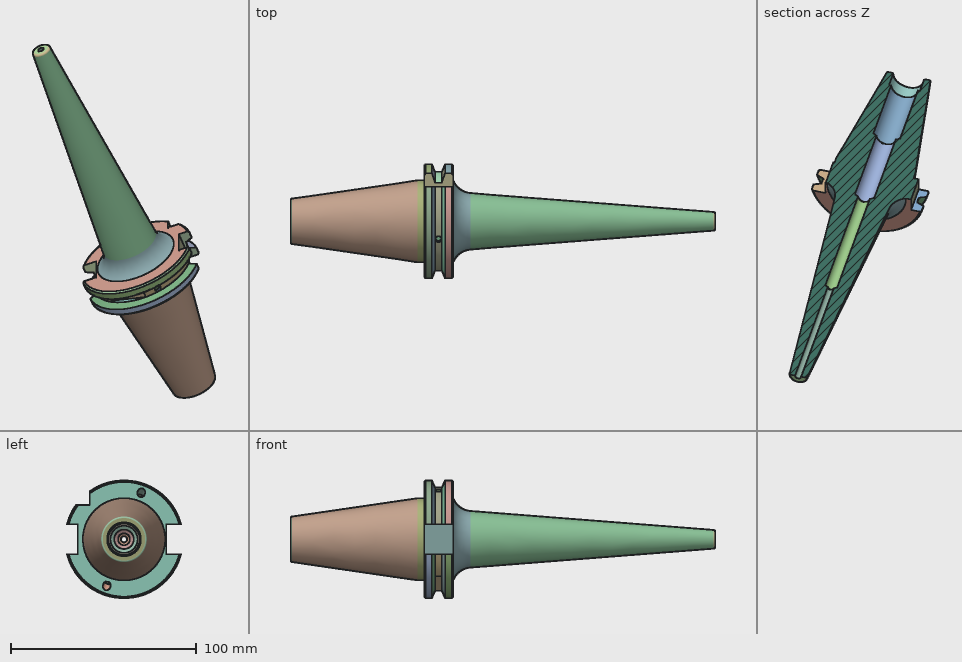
import cadquery as cq
import math

LENGTH = 228.5

TAPER_LENGTH = 68.3
TAPER_RADIUS = 22.2
TAPER_SLOPE = 7 / 48
TAPER_EDGE_RADIUS = 1.0

FLANGE_START = 71.7
FLANGE_END = 87.5
FLANGE_RADIUS = 31.7
FLANGE_CHAMFER = 1.0
GROOVE_CENTER = 79.5
GROOVE_FLOOR_RADIUS = 27.9
GROOVE_FLOOR_WIDTH = 3.7
GROOVE_MOUTH_WIDTH = 7.0

SLOT_WIDTH = 16.0
SLOT_FLOOR_PLUS_Y = 25.0
SLOT_FLOOR_MINUS_Y = 22.8
NOTCH_OFFSET = 18.5

NOSE_START = 96.5
NOSE_ROOT_RADIUS = 15.3
NOSE_TIP_RADIUS = 5.0
NOSE_EDGE_RADIUS = 1.1
BLEND_RADIUS = 10.7

PILOT_RADIUS = 8.5
PILOT_DEPTH = 9.1
DRILLED_STEPS = [(7.3, 45.7), (5.3, 91.4), (3.2, 159.9)]
TOOL_BORE_RADIUS = 1.5
PILOT_CHAMFER = 0.7
DRILL_POINT_ANGLE = 118.0

COOLANT_TURN = 20.3
COOLANT_ENTRY_RADIUS = 26.7
COOLANT_HOLE_RADIUS = 2.0
COOLANT_TILT = 30.0
PLUG_RADIUS = 1.71
PLUG_BOTTOM = 20.5
PLUG_TOP = 25.5
PLUG_TURNS = (COOLANT_TURN, COOLANT_TURN + 180)

FLAT_TURN = 180 - COOLANT_TURN
FLAT_DISTANCE = 25.4
FLAT_WIDTH = 3.5


def revolve_about_x(profile):
    return profile.close().revolve(360, (0, 0, 0), (1, 0, 0))


def turn_about_x(shape, angle):
    return shape.rotate((0, 0, 0), (1, 0, 0), angle)


def arc_point(center, radius, angle):
    return (center[0] + radius * math.cos(angle), center[1] + radius * math.sin(angle))


def turned_body():
    taper_end_radius = TAPER_RADIUS - TAPER_LENGTH * TAPER_SLOPE
    floor_half = GROOVE_FLOOR_WIDTH / 2
    mouth_half = GROOVE_MOUTH_WIDTH / 2

    nose_angle = math.atan2(NOSE_ROOT_RADIUS - NOSE_TIP_RADIUS, LENGTH - NOSE_START)
    blend_center = (
        NOSE_START + BLEND_RADIUS * math.sin(nose_angle),
        NOSE_ROOT_RADIUS + BLEND_RADIUS * math.cos(nose_angle),
    )
    blend_end_angle = -math.pi / 2 - nose_angle
    blend_start_angle = math.acos((blend_center[0] - FLANGE_END) / BLEND_RADIUS) - math.pi
    blend_start = arc_point(blend_center, BLEND_RADIUS, blend_start_angle)
    blend_middle = arc_point(blend_center, BLEND_RADIUS, (blend_start_angle + blend_end_angle) / 2)

    profile = (
        cq.Workplane("XZ")
        .lineTo(0, taper_end_radius)
        .lineTo(TAPER_LENGTH, TAPER_RADIUS)
        .lineTo(FLANGE_START, TAPER_RADIUS)
        .lineTo(FLANGE_START, FLANGE_RADIUS - FLANGE_CHAMFER)
        .lineTo(FLANGE_START + FLANGE_CHAMFER, FLANGE_RADIUS)
        .lineTo(GROOVE_CENTER - mouth_half, FLANGE_RADIUS)
        .lineTo(GROOVE_CENTER - floor_half, GROOVE_FLOOR_RADIUS)
        .lineTo(GROOVE_CENTER + floor_half, GROOVE_FLOOR_RADIUS)
        .lineTo(GROOVE_CENTER + mouth_half, FLANGE_RADIUS)
        .lineTo(FLANGE_END - FLANGE_CHAMFER, FLANGE_RADIUS)
        .lineTo(FLANGE_END, FLANGE_RADIUS - FLANGE_CHAMFER)
        .lineTo(*blend_start)
        .threePointArc(blend_middle, (NOSE_START, NOSE_ROOT_RADIUS))
        .lineTo(LENGTH, NOSE_TIP_RADIUS)
        .lineTo(LENGTH, 0)
    )
    body = revolve_about_x(profile)
    body = body.faces("<X").edges().fillet(TAPER_EDGE_RADIUS)
    return body.faces(">X").edges().fillet(NOSE_EDGE_RADIUS)


def bore():
    """Pilot and drilled steps; each step ends in a drill-point cone down to the next radius."""
    point_slope = 1 / math.tan(math.radians(DRILL_POINT_ANGLE / 2))
    profile = (
        cq.Workplane("XZ")
        .lineTo(0, PILOT_RADIUS + PILOT_CHAMFER)
        .lineTo(PILOT_CHAMFER, PILOT_RADIUS)
        .lineTo(PILOT_DEPTH, PILOT_RADIUS)
        .lineTo(PILOT_DEPTH, DRILLED_STEPS[0][0])
    )
    next_radii = [radius for radius, _ in DRILLED_STEPS[1:]] + [TOOL_BORE_RADIUS]
    for (radius, depth), next_radius in zip(DRILLED_STEPS, next_radii):
        profile = profile.lineTo(depth, radius)
        profile = profile.lineTo(depth + (radius - next_radius) * point_slope, next_radius)
    return revolve_about_x(profile.lineTo(LENGTH, TOOL_BORE_RADIUS).lineTo(LENGTH, 0))


def flange_cutter(y_min, y_max, z_min, z_max):
    """Block over the whole flange width, to cut a slot or notch."""
    block = cq.Workplane("XY").box(FLANGE_END - FLANGE_START, y_max - y_min, z_max - z_min, centered=False)
    return block.translate((FLANGE_START, y_min, z_min))


def groove_flat():
    """Block that cuts a flat chord across the groove floor."""
    chord = 2 * math.sqrt(GROOVE_FLOOR_RADIUS**2 - FLAT_DISTANCE**2)
    height = FLANGE_RADIUS - FLAT_DISTANCE
    block = cq.Workplane("XY").box(FLAT_WIDTH, chord, height, centered=(True, True, False))
    return turn_about_x(block.translate((GROOVE_CENTER, 0, FLAT_DISTANCE)), FLAT_TURN)


def coolant_hole(turn):
    """Inclined hole from the flange face to the axis of the cross hole."""
    tilt = math.radians(COOLANT_TILT)
    length = (GROOVE_CENTER - FLANGE_START) / math.cos(tilt)
    lead_in = COOLANT_HOLE_RADIUS
    hole = (
        cq.Workplane("YZ")
        .circle(COOLANT_HOLE_RADIUS)
        .extrude(lead_in + length)
        .translate((-lead_in, 0, 0))
        .rotate((0, 0, 0), (0, 1, 0), COOLANT_TILT)
        .translate((FLANGE_START, 0, COOLANT_ENTRY_RADIUS))
    )
    return turn_about_x(hole, turn)


def radial_cylinder(turn, top):
    cylinder = (
        cq.Workplane("XY", origin=(GROOVE_CENTER, 0, PLUG_BOTTOM))
        .circle(PLUG_RADIUS)
        .extrude(top - PLUG_BOTTOM)
    )
    return turn_about_x(cylinder, turn)


def holder_body():
    body = turned_body().cut(bore())
    slot_half = SLOT_WIDTH / 2
    body = body.cut(flange_cutter(SLOT_FLOOR_PLUS_Y, FLANGE_RADIUS, -slot_half, slot_half))
    body = body.cut(flange_cutter(-FLANGE_RADIUS, -SLOT_FLOOR_MINUS_Y, -slot_half, slot_half))
    body = body.cut(flange_cutter(NOTCH_OFFSET, FLANGE_RADIUS, NOTCH_OFFSET, FLANGE_RADIUS))
    body = body.cut(groove_flat())
    for turn in PLUG_TURNS:
        body = body.cut(coolant_hole(turn))
        body = body.cut(radial_cylinder(turn, FLANGE_RADIUS))
    return body


def plug(turn):
    """Plug that closes a cross hole, set below the groove floor."""
    return radial_cylinder(turn, PLUG_TOP)


holder = holder_body()
plugs = [plug(turn) for turn in PLUG_TURNS]

result = cq.Compound.makeCompound([holder.val(), *[item.val() for item in plugs]])